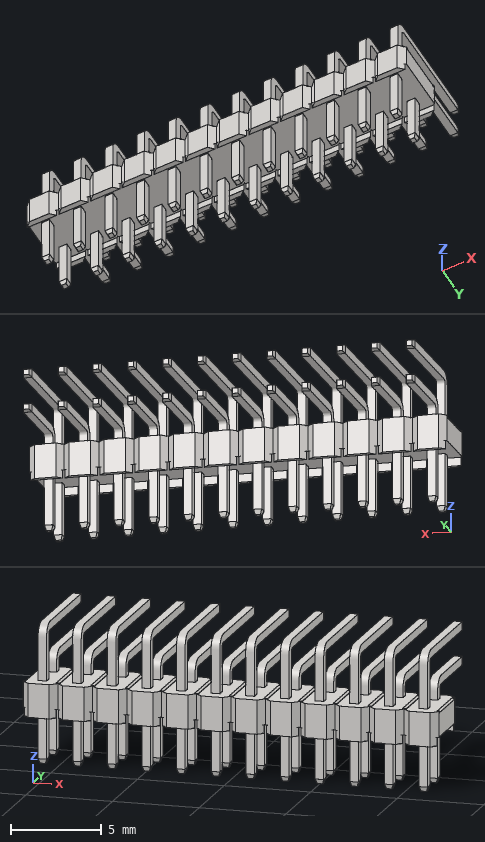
import cadquery as cq

length = 24
positions = 12
pitch = length / positions
rows = 2

body_depth = 3.98
body_height = 1.97
corner_chamfer = 0.38
channel_depth = 0.48
channel_wall = 0.3

groove_half_width = 0.12
groove_depth = 0.1
groove_end_gap = 0.1

pin_width = 0.5
inner_bend_radius = 0.25
outer_bend_radius = inner_bend_radius + pin_width
tip_length = 0.3
tip_inset = 0.1
pin_reach = 8.0
pin_total_height = 8.05
pin_drop = 2.8
pin_bottom = -pin_drop
front_pin_top = pin_bottom + pin_total_height
front_row_y = (body_depth - (rows - 1) * pitch) / 2


def make_cell():
    """Housing block with chamfered vertical corners, an underside channel and top edge bevels."""
    cell = cq.Workplane("XY").box(pitch, body_depth, body_height, centered=(True, False, False))
    cell = cell.edges("|Z").chamfer(corner_chamfer)

    channel_width = body_depth - 2 * channel_wall
    channel = (
        cq.Workplane("XY")
        .box(pitch, channel_width, channel_depth, centered=(True, False, False))
        .translate((0, channel_wall, 0))
    )
    cell = cell.cut(channel)

    groove_start = corner_chamfer + groove_end_gap
    groove_length = body_depth - 2 * groove_start
    for side in (-1, 1):
        border = side * pitch / 2
        bevel = (
            cq.Workplane("XZ", origin=(0, groove_start, 0))
            .moveTo(border, body_height)
            .lineTo(border - side * groove_half_width, body_height)
            .lineTo(border, body_height - groove_depth)
            .close()
            .extrude(-groove_length)
        )
        cell = cell.cut(bevel)
    return cell


def make_tip(base_plane):
    """Square tapered end that grows outwards from the given plane."""
    tip_width = pin_width - 2 * tip_inset
    return (
        cq.Workplane(base_plane)
        .rect(pin_width, pin_width)
        .workplane(offset=tip_length)
        .rect(tip_width, tip_width)
        .loft(ruled=True)
    )


def make_pin(row_y, top_z):
    """Pin rising at row_y, bent towards +Y so that its upper face lies at top_z."""
    front = row_y - pin_width / 2
    back = row_y + pin_width / 2
    lower_end = pin_bottom + tip_length
    outer_end = pin_reach - tip_length
    underside = top_z - pin_width
    bend_y = front + outer_bend_radius
    bend_z = top_z - outer_bend_radius

    shank = (
        cq.Workplane("YZ", origin=(-pin_width / 2, 0, 0))
        .moveTo(front, lower_end)
        .lineTo(front, bend_z)
        .radiusArc((bend_y, top_z), outer_bend_radius)
        .lineTo(outer_end, top_z)
        .lineTo(outer_end, underside)
        .lineTo(bend_y, underside)
        .radiusArc((back, bend_z), -inner_bend_radius)
        .lineTo(back, lower_end)
        .close()
        .extrude(pin_width)
    )
    lower_plane = cq.Plane(origin=(0, row_y, lower_end), xDir=(1, 0, 0), normal=(0, 0, -1))
    outer_plane = cq.Plane(
        origin=(0, outer_end, top_z - pin_width / 2), xDir=(1, 0, 0), normal=(0, 1, 0)
    )
    return shank.union(make_tip(lower_plane)).union(make_tip(outer_plane))


position = make_cell()
for row in range(rows):
    row_y = front_row_y + row * pitch
    position = position.union(make_pin(row_y, front_pin_top - row * pitch))

result = position
for index in range(1, positions):
    result = result.union(position.translate((index * pitch, 0, 0)))